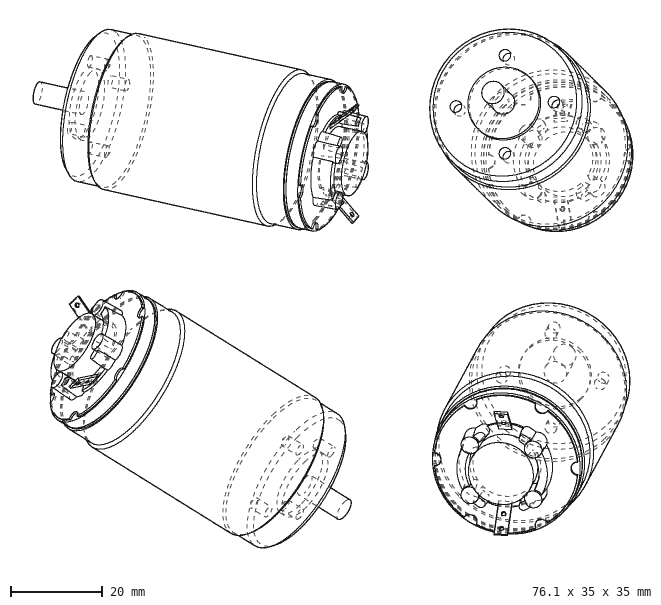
import cadquery as cq
import math


boss_start = 11.0
front_face = 12.5
front_ring_end = 19.5
can_start = 19.9
can_end = 58.95
rear_ring_start = 59.65
rear_ring_end = 66.0
cap_start = 66.5
cap_end = 69.3
rear_face = 69.75
plinth_end = 70.45
wall_end = 74.3
post_end = 75.0
bearing_end = 75.7
total_length = 76.1

shaft_radius = 2.5
boss_radius = 8.0
front_ring_radius = 17.05
front_chamfer = 1.0
can_radius = 17.5
rear_ring_radius = 16.8
groove_radius = 16.35
cap_radius = 16.4
rim_radius = 16.0

mount_hole_count = 4
mount_circle_radius = 10.95
mount_hole_radius = 1.3
mount_hole_depth = 4.0
drill_point_angle = 118.0

scallop_count = 6
scallop_radius = 1.5

plinth_radius = 9.7
bearing_radius = 7.2
wall_mid_radius = 9.1
wall_thickness = 2.5
wall_half_angle = 59.0
wall_draft = 4.0
post_radius = 2.1
post_angle = 39.6
post_draft = 2.0

terminal_width = 3.0
terminal_thickness = 0.5
terminal_bend = 45.0
terminal_root_z = 9.1
terminal_hole_radius = 0.495
terminal_hole_stations = (72.2, 74.7)


def polar(radius, angle):
    """Y, Z of a point at an angle measured from +Y about the motor axis."""
    turn = math.radians(angle)
    return radius * math.cos(turn), radius * math.sin(turn)


def cross_section(station):
    """Workplane across the motor axis, with local x along Y and local y along Z."""
    return cq.Workplane("YZ", origin=(station, 0, 0))


def make_body():
    """Revolve the shaft, front boss, can, rings and rear cap in one profile."""
    profile = [
        (0, 0),
        (0, shaft_radius),
        (boss_start, shaft_radius),
        (boss_start, boss_radius),
        (front_face, boss_radius),
        (front_face, front_ring_radius - front_chamfer),
        (front_face + front_chamfer, front_ring_radius),
        (front_ring_end, front_ring_radius),
        (can_start, can_radius),
        (can_end, can_radius),
        (rear_ring_start, rear_ring_radius),
        (rear_ring_end, rear_ring_radius),
        (rear_ring_end, groove_radius),
        (cap_start, groove_radius),
        (cap_start, cap_radius),
        (cap_end, cap_radius),
        (cap_end, rim_radius),
        (rear_face, rim_radius),
        (rear_face, plinth_radius),
        (plinth_end, plinth_radius),
        (plinth_end, bearing_radius),
        (bearing_end, bearing_radius),
        (bearing_end, 0),
    ]
    return cq.Workplane("XY").polyline(profile).close().revolve(360, (0, 0, 0), (1, 0, 0))


def make_mount_holes():
    """Four blind holes with conical drill points, placed on the Y and Z axes."""
    point_depth = mount_hole_radius / math.tan(math.radians(drill_point_angle / 2))
    hole_end = front_face + mount_hole_depth
    hole_profile = [
        (front_face, 0),
        (front_face, mount_hole_radius),
        (hole_end, mount_hole_radius),
        (hole_end + point_depth, 0),
    ]
    hole = cq.Workplane("XY").polyline(hole_profile).close().revolve(360, (0, 0, 0), (1, 0, 0))
    holes = cq.Workplane("XY")
    for index in range(mount_hole_count):
        y, z = polar(mount_circle_radius, 360 / mount_hole_count * index)
        holes = holes.add(hole.translate((0, y, z)))
    return holes.combine()


def make_rim_scallops():
    """Round cuts centred on the edge of the thin rear rim, the first one at +Y."""
    return (
        cross_section(cap_end)
        .polarArray(rim_radius, 0, 360, scallop_count)
        .circle(scallop_radius)
        .extrude(rear_face - cap_end)
    )


def make_wall(side_angle):
    """Drafted, round-ended curved wall centred on side_angle."""
    inner = wall_mid_radius - wall_thickness / 2
    outer = wall_mid_radius + wall_thickness / 2
    first = side_angle - wall_half_angle
    last = side_angle + wall_half_angle
    cap_turn = math.degrees(wall_thickness / 2 / wall_mid_radius)
    return (
        cross_section(rear_face)
        .moveTo(*polar(outer, first))
        .threePointArc(polar(outer, side_angle), polar(outer, last))
        .threePointArc(polar(wall_mid_radius, last + cap_turn), polar(inner, last))
        .threePointArc(polar(inner, side_angle), polar(inner, first))
        .threePointArc(polar(wall_mid_radius, first - cap_turn), polar(outer, first))
        .close()
        .extrude(wall_end - rear_face, taper=wall_draft)
    )


def make_post(angle):
    """Drafted round post standing in a wall."""
    return (
        cross_section(rear_face)
        .center(*polar(wall_mid_radius, angle))
        .circle(post_radius)
        .extrude(post_end - rear_face, taper=post_draft)
    )


def make_terminal():
    """Upper terminal: a flat pierced tab leaning outward and backward."""
    lean = math.radians(terminal_bend)
    across_x = terminal_thickness * math.sin(lean)
    across_z = terminal_thickness * math.cos(lean)
    tip_x = total_length - across_x
    root_x = rear_face
    rise = (tip_x - plinth_end) * math.tan(lean)
    sink = (plinth_end - root_x) * math.tan(lean)
    side_profile = [
        (root_x, terminal_root_z - sink),
        (tip_x, terminal_root_z + rise),
        (total_length, terminal_root_z + rise - across_z),
        (root_x + across_x, terminal_root_z - sink - across_z),
    ]
    tab = (
        cq.Workplane("XZ")
        .polyline(side_profile)
        .close()
        .extrude(terminal_width / 2, both=True)
    )
    for station in terminal_hole_stations:
        z = terminal_root_z + (station - plinth_end) * math.tan(lean)
        normal = (math.sin(lean), 0, -math.cos(lean))
        hole_plane = cq.Plane(origin=(station, 0, z), xDir=(0, 1, 0), normal=normal)
        hole = cq.Workplane(hole_plane).circle(terminal_hole_radius)
        tab = tab.cut(hole.extrude(2 * terminal_thickness, both=True))
    return tab


result = make_body().cut(make_mount_holes()).cut(make_rim_scallops())

for side_angle in (0, 180):
    result = result.union(make_wall(side_angle))
    for offset in (-post_angle, post_angle):
        result = result.union(make_post(side_angle + offset))

terminal = make_terminal()
result = result.union(terminal).union(terminal.mirror("XY"))